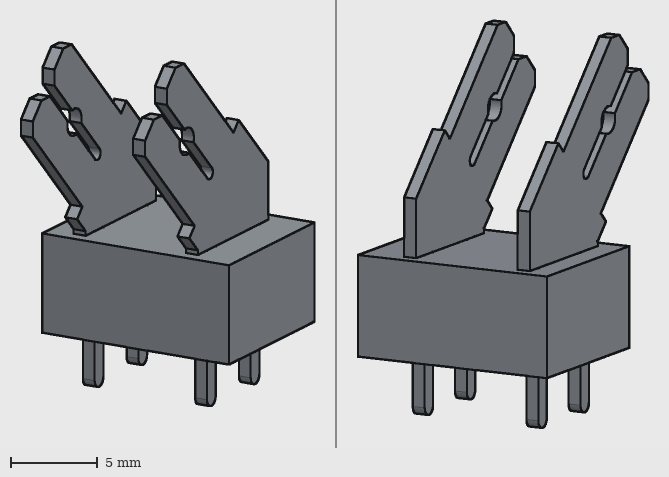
import cadquery as cq
import math


HOUSING_WIDTH = 12.5
HOUSING_DEPTH = 9.8
HOUSING_HEIGHT = 6.0

BLADE_THICKNESS = 0.8
BLADE_PITCH = 7.5
FIRST_BLADE_X = -4.24
BLADE_X = [FIRST_BLADE_X + i * BLADE_PITCH for i in range(2)]

BASE_FRONT_Y = 0.85
BASE_BACK_Y = 8.95

LEAN = math.radians(45)
SHOULDER_Y = 2.7
SHOULDER_Z = 10.08
SHOULDER_WIDTH = 8.0
TAB_WIDTH = 6.3
TAB_LENGTH = 8.7
TIP_CHAMFER = 0.69

SLOT_WIDTH = 0.7
SLOT_START = 0.69
HOLE_DISTANCE = 4.4
HOLE_DIAMETER = 1.61

PIN_WIDTH = 1.0
PIN_PITCH = 5.0
FIRST_PIN_Y = 2.4
PIN_Y = [FIRST_PIN_Y + i * PIN_PITCH for i in range(2)]
PIN_BOTTOM_Z = -3.53


def tab_point(along, across):
    """(Y, Z) of a point given along the tab axis and across it towards the back."""
    y = SHOULDER_Y - along * math.sin(LEAN) + across * math.cos(LEAN)
    z = SHOULDER_Z + along * math.cos(LEAN) + across * math.sin(LEAN)
    return (y, z)


def side_point_at_y(across, y):
    """Point where the line parallel to the tab axis, offset by across, reaches y."""
    along = (SHOULDER_Y + across * math.cos(LEAN) - y) / math.sin(LEAN)
    return tab_point(along, across)


def side_plane(x):
    """Workplane in Y and Z whose plane lies half a blade thickness before x."""
    return cq.Workplane("YZ", origin=(x - BLADE_THICKNESS / 2, 0, 0))


def make_plate(x):
    """Upright base with shoulders and the leaning, two-pronged tab."""
    half_shoulder = SHOULDER_WIDTH / 2
    half_tab = TAB_WIDTH / 2
    half_slot = SLOT_WIDTH / 2
    chamfer_start = TAB_LENGTH - TIP_CHAMFER
    back_side = [
        (BASE_FRONT_Y, HOUSING_HEIGHT),
        (BASE_BACK_Y, HOUSING_HEIGHT),
        side_point_at_y(half_shoulder, BASE_BACK_Y),
        tab_point(0, half_shoulder),
        tab_point(0, half_tab),
        tab_point(chamfer_start, half_tab),
        tab_point(TAB_LENGTH, half_tab - TIP_CHAMFER),
        tab_point(TAB_LENGTH, half_slot + TIP_CHAMFER),
        tab_point(chamfer_start, half_slot),
        tab_point(SLOT_START, half_slot),
    ]
    front_side = [
        tab_point(chamfer_start, -half_slot),
        tab_point(TAB_LENGTH, -half_slot - TIP_CHAMFER),
        tab_point(TAB_LENGTH, TIP_CHAMFER - half_tab),
        tab_point(chamfer_start, -half_tab),
        tab_point(0, -half_tab),
        tab_point(0, -half_shoulder),
        side_point_at_y(-half_shoulder, BASE_FRONT_Y),
    ]
    plate = side_plane(x).polyline(back_side)
    plate = plate.threePointArc(tab_point(SLOT_START - half_slot, 0), tab_point(SLOT_START, -half_slot))
    for point in front_side:
        plate = plate.lineTo(*point)
    plate = plate.close().extrude(BLADE_THICKNESS)

    hole = (
        side_plane(x)
        .center(*tab_point(HOLE_DISTANCE, 0))
        .circle(HOLE_DIAMETER / 2)
        .extrude(BLADE_THICKNESS)
    )
    return plate.cut(hole)


def make_pin(x, y):
    """Round-ended pin reaching from the plate down through the housing."""
    half_width = PIN_WIDTH / 2
    round_start_z = PIN_BOTTOM_Z + half_width
    return (
        side_plane(x)
        .moveTo(y - half_width, HOUSING_HEIGHT)
        .lineTo(y - half_width, round_start_z)
        .threePointArc((y, PIN_BOTTOM_Z), (y + half_width, round_start_z))
        .lineTo(y + half_width, HOUSING_HEIGHT)
        .close()
        .extrude(BLADE_THICKNESS)
    )


def make_blade(x):
    """One terminal: plate and its solder pins in one piece."""
    blade = make_plate(x)
    for y in PIN_Y:
        blade = blade.union(make_pin(x, y))
    return blade


def make_housing():
    """Plain block with a through passage for every pin."""
    block = cq.Workplane("XY").box(
        HOUSING_WIDTH, HOUSING_DEPTH, HOUSING_HEIGHT, centered=(True, False, False)
    )
    for x in BLADE_X:
        for y in PIN_Y:
            block = block.cut(make_pin(x, y))
    return block


housing = make_housing()
blades = [make_blade(x) for x in BLADE_X]

result = cq.Compound.makeCompound([housing.solids().val(), *[blade.solids().val() for blade in blades]])